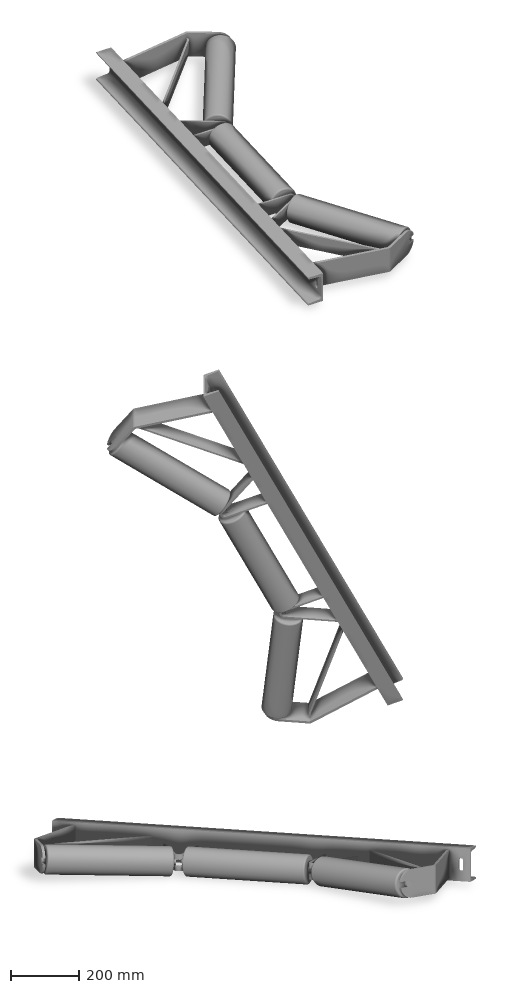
import cadquery as cq
import math


beam_length = 1300.0
beam_height = 100.0
beam_depth = 50.0
web_thickness = 6.0
flange_thickness = 8.5
flange_taper = 0.08
flange_root_radius = 8.5
flange_tip_radius = 4.5
mount_slot_width = 14.0
mount_slot_length = 38.0
mount_slot_inset = 29.0

roller_diameter = 89.0
roller_length = 380.0
roller_edge_radius = 5.0
shaft_diameter = 24.0
shaft_flats = 18.0
end_gap = 4.0
trough_angle = 30.0
forward_tilt = 3.0
centre_axis_y = 118.8
centre_axis_z = -20.0
side_middle_x = -398.4
side_middle_y = 224.65
side_middle_z = -10.3

outer_thickness = 8.0
outer_height = 85.0
bend_radius = 6.0
inner_thickness = 6.0
inner_height = 50.0
inner_middle_z = centre_axis_z
outer_foot_x = -581.0
outer_bend_y = 237.0
outer_tip_overhang = 34.5
inner_top_y = 143.0
brace_thickness = 6.0
brace_height = 50.0
brace_foot_x = -342.0
brace_tab_y = 234.5
brace_bend_x = -607.0
foot_overrun = 8.0
slot_overrun = 8.0
shaft_slot_run = 100.0
tip_block_reach = 500.0

shaft_reach = roller_length / 2 + end_gap + outer_thickness
plate_offset = roller_length / 2 + end_gap + outer_thickness / 2
trough_cos = math.cos(math.radians(trough_angle))
trough_sin = math.sin(math.radians(trough_angle))
trough_tan = math.tan(math.radians(trough_angle))


def make_beam():
    half_height = beam_height / 2
    taper_rise = flange_taper * beam_depth / 2
    tip_z = half_height - flange_thickness + taper_rise
    root_z = tip_z - flange_taper * (beam_depth - web_thickness)
    outline = [
        (0, -half_height),
        (-beam_depth, -half_height),
        (-beam_depth, -tip_z),
        (-web_thickness, -root_z),
        (-web_thickness, root_z),
        (-beam_depth, tip_z),
        (-beam_depth, half_height),
        (0, half_height),
    ]
    beam = cq.Workplane("YZ").polyline(outline).close().extrude(beam_length / 2, both=True)
    for z_sign in (-1, 1):
        root = cq.selectors.NearestToPointSelector((0, -web_thickness, z_sign * root_z))
        tip = cq.selectors.NearestToPointSelector((0, -beam_depth, z_sign * tip_z))
        beam = beam.edges(root).fillet(flange_root_radius)
        beam = beam.edges(tip).fillet(flange_tip_radius)
    slot_x = beam_length / 2 - mount_slot_inset
    slots = (
        cq.Workplane("XZ")
        .pushPoints([(-slot_x, 0), (slot_x, 0)])
        .slot2D(mount_slot_length, mount_slot_width, 90)
        .extrude(web_thickness)
    )
    return beam.cut(slots)


def flatted_bar(reach):
    """Round bar along X about the origin, with a flat above and below."""
    blank = cq.Workplane("YZ", origin=(-reach, 0, 0)).circle(shaft_diameter / 2).extrude(2 * reach)
    return blank.intersect(cq.Workplane("XY").box(2 * reach, shaft_diameter, shaft_flats))


def make_roller():
    """Roller along X about the origin, with its shaft ends."""
    drum = (
        cq.Workplane("YZ", origin=(-roller_length / 2, 0, 0))
        .circle(roller_diameter / 2)
        .extrude(roller_length)
        .faces("<X or >X")
        .edges()
        .fillet(roller_edge_radius)
    )
    shaft = flatted_bar(shaft_reach)
    return drum.union(shaft)


def make_shaft_slots():
    """Round-bottomed slots for both shaft ends, open towards +Y."""
    reach = shaft_reach + slot_overrun
    mouth = cq.Workplane("XY").box(
        2 * reach, shaft_slot_run, shaft_flats, centered=(True, False, True)
    )
    return flatted_bar(reach).union(mouth)


def at_centre(shape):
    return shape.translate((0, centre_axis_y, centre_axis_z))


def at_left(shape):
    tilted = shape.rotate((0, 0, 0), (0, 1, 0), forward_tilt)
    swung = tilted.rotate((0, 0, 0), (0, 0, 1), -trough_angle)
    return swung.translate((side_middle_x, side_middle_y, side_middle_z))


def unit(start, end):
    length = math.dist(start, end)
    return ((end[0] - start[0]) / length, (end[1] - start[1]) / length)


def offset_path(path, distance):
    """Points of a path moved sideways to its left, mitred at the bends."""
    directions = [unit(a, b) for a, b in zip(path, path[1:])]
    before = [directions[0]] + directions
    after = directions + [directions[-1]]
    moved = []
    for (x, y), (ax, ay), (bx, by) in zip(path, before, after):
        scale = distance / (1 + ax * bx + ay * by)
        moved.append((x - scale * (ay + by), y + scale * (ax + bx)))
    return moved


def make_strip(path, thickness, height):
    """Upright flat bar bent along a path that turns only to the right, trimmed at the beam."""
    outer = offset_path(path, thickness / 2)
    inner = offset_path(path, -thickness / 2)
    strip = (
        cq.Workplane("XY")
        .polyline(outer + inner[::-1])
        .close()
        .extrude(height / 2, both=True)
    )
    for corners, radius in ((outer, bend_radius + thickness), (inner, bend_radius)):
        for x, y in corners[1:-1]:
            strip = strip.edges(cq.selectors.NearestToPointSelector((x, y, 0))).fillet(radius)
    beam_side = cq.Workplane("XY").box(
        beam_length, beam_depth, beam_height, centered=(True, False, True)
    ).translate((0, -beam_depth, 0))
    return strip.cut(beam_side)


def continue_line(start, end, extra):
    """Point beyond the end of a line."""
    dx, dy = unit(start, end)
    return (end[0] + extra * dx, end[1] + extra * dy)


outer_axis = (side_middle_x - plate_offset * trough_cos, side_middle_y + plate_offset * trough_sin)
inner_axis = (side_middle_x + plate_offset * trough_cos, side_middle_y - plate_offset * trough_sin)
outer_bend = (outer_axis[0] - (outer_axis[1] - outer_bend_y) * trough_tan, outer_bend_y)
outer_foot = (outer_foot_x, 0)


def make_rounded_tip():
    """Block as tall as the bracket, with a half-round end square to the bracket's upper leg."""
    half_height = outer_height / 2
    arc_start = outer_tip_overhang - half_height
    block = (
        cq.Workplane("YZ", origin=(-tip_block_reach, 0, 0))
        .moveTo(-tip_block_reach, -half_height)
        .lineTo(arc_start, -half_height)
        .threePointArc((outer_tip_overhang, 0), (arc_start, half_height))
        .lineTo(-tip_block_reach, half_height)
        .close()
        .extrude(2 * tip_block_reach)
    )
    swung = block.rotate((0, 0, 0), (0, 0, 1), -trough_angle)
    return swung.translate((outer_axis[0], outer_axis[1], 0))


def make_outer_bracket():
    foot = continue_line(outer_bend, outer_foot, foot_overrun)
    tip = continue_line(outer_bend, outer_axis, outer_tip_overhang)
    bracket = make_strip([foot, outer_bend, tip], outer_thickness, outer_height)
    return bracket.intersect(make_rounded_tip()).cut(at_left(make_shaft_slots()))


def make_inner_bracket():
    foot = (inner_axis[0] - inner_axis[1] * trough_tan, 0)
    slant_top = (inner_axis[0] + (inner_top_y - inner_axis[1]) * trough_tan, inner_top_y)
    upright_top = (-plate_offset, inner_top_y)
    upright_foot = (-plate_offset, 0)
    start = continue_line(slant_top, foot, foot_overrun)
    bracket = make_strip([start, slant_top, upright_top, upright_foot], inner_thickness, inner_height)
    bracket = bracket.translate((0, 0, inner_middle_z))
    slots = make_shaft_slots()
    return bracket.cut(at_left(slots)).cut(at_centre(slots))


def make_brace(bracket):
    tab = (outer_bend[0], brace_tab_y)
    bend = (brace_bend_x, brace_tab_y)
    foot = continue_line(bend, (brace_foot_x, 0), foot_overrun)
    return make_strip([tab, bend, foot], brace_thickness, brace_height).cut(bracket)


beam = make_beam()
roller = make_roller()
outer_bracket = make_outer_bracket()
left_bodies = [at_left(roller), outer_bracket, make_inner_bracket(), make_brace(outer_bracket)]
right_bodies = [body.mirror("YZ") for body in left_bodies]
bodies = [beam, at_centre(roller)] + left_bodies + right_bodies
result = cq.Compound.makeCompound([solid for body in bodies for solid in body.vals()])